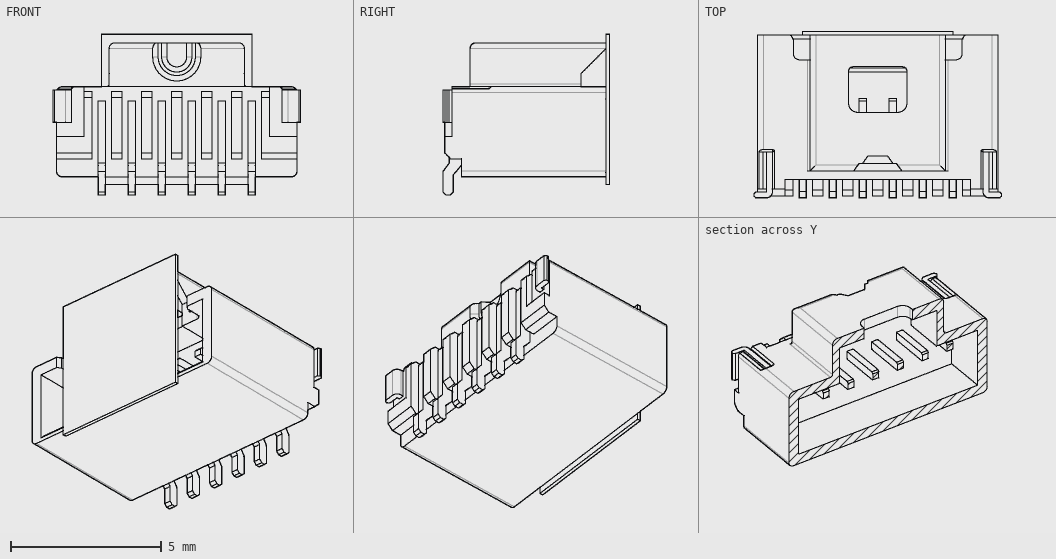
import cadquery as cq
import math


pitch = 1.0
contact_count = 6
wall = 0.4
edge_round = 0.2

block_width = 8.0
block_height = 3.0
panel_depth = 4.8
rib_depth = 5.36
shoulder_depth = 5.12
shoulder_bottom = 1.34
corner_inner_x = 3.08
rib_bottom = 0.6
rib_top = 2.84
rib_width = 0.355
rib_chamfer = 0.2
end_rib_inner_x = contact_count / 2 * pitch - rib_width / 2

tower_width = 4.5
tower_top = 4.46
tower_depth = 4.515
tower_wall = 0.3
tower_roof = 0.44
foot_round = 0.08

cavity_depth = 3.67
mouth_chamfer = 0.14
floor_step = 0.13
floor_step_depth = 1.1

notch_width = 5.6
notch_depth = 0.82
notch_round = 0.2
notch_flare = 0.1
window_width = 1.94
window_rear = 1.055
window_front = 2.57
window_front_round = 0.305
window_rear_round = 0.15
scoop_center_z = 3.99
scoop_step_depth = 0.25
scoop_outer_radii = (0.8, 0.62)
scoop_inner_radii = (0.5, 0.33)

contact_width = 0.25
contact_top = 2.53
contact_beam = 0.305
contact_tip_depth = 2.11
contact_tip_chamfer = 0.09
leg_depth = 5.21
foot_front = 5.41
foot_back = 5.07
foot_bottom = -0.6
foot_chamfer = 0.1
bend_front_top = 0.46
bend_front_bottom = 0.18
bend_back_top = 0.38
bend_back_bottom = 0.07

tab_end_x = 4.12
tab_inner_x = 3.5
tab_thickness = 0.2
tab_top = 2.89
tab_bottom = 1.81
tab_rear = 3.92
tab_end_chamfer = 0.07
recess_drop = 0.075
recess_outer_x = 3.95
groove_outer_x = 3.81
recess_rear = 3.88

film_side = 5.0
film_thickness = 0.12
film_bottom = -0.255


def across(points, x_from, x_to):
    """Prism along X from an outline of (depth, height) points; depth runs toward -Y."""
    outline = [(-depth, height) for depth, height in points]
    return cq.Workplane("YZ", origin=(x_from, 0, 0)).polyline(outline).close().extrude(x_to - x_from)


def block(x_from, x_to, depth_from, depth_to, z_from, z_to):
    """Box between two X values, two depths and two heights."""
    size = (x_to - x_from, depth_to - depth_from, z_to - z_from)
    return cq.Workplane("XY").box(*size, centered=False).translate((x_from, -depth_to, z_from))


def both_sides(shape):
    """The shape together with its mirror image in the plane X = 0."""
    return shape.union(shape.mirror("YZ"))


def make_main_block():
    half = block_width / 2
    body = block(-half, half, 0, rib_depth, 0, block_height).edges("|Y").fillet(edge_round)
    body = body.cut(block(-corner_inner_x, corner_inner_x, panel_depth, rib_depth, 0, block_height))
    body = body.cut(block(-half, half, shoulder_depth, rib_depth, shoulder_bottom, block_height))
    underside = [
        (panel_depth, 0),
        (panel_depth, rib_bottom),
        (rib_depth - rib_chamfer, rib_bottom),
        (rib_depth, rib_bottom + rib_chamfer),
        (rib_depth, 0),
    ]
    return body.cut(across(underside, -half, half))


def make_rib(x_from, x_to):
    profile = [
        (panel_depth, rib_bottom),
        (rib_depth - rib_chamfer, rib_bottom),
        (rib_depth, rib_bottom + rib_chamfer),
        (rib_depth, rib_top - rib_chamfer),
        (rib_depth - rib_chamfer, rib_top),
        (panel_depth, rib_top),
    ]
    return across(profile, x_from, x_to)


def make_ribs():
    ribs = both_sides(make_rib(end_rib_inner_x, corner_inner_x))
    for index in range(contact_count - 1):
        center = (index - (contact_count - 2) / 2) * pitch
        ribs = ribs.union(make_rib(center - rib_width / 2, center + rib_width / 2))
    return ribs


def make_tower():
    half = tower_width / 2
    base = block_height - wall
    tower = block(-half, half, 0, tower_depth, base, tower_top)
    tower = tower.faces(">Z").edges("|Y or <Y").fillet(edge_round)
    foot = (
        cq.Workplane("XZ")
        .moveTo(half, block_height)
        .lineTo(half + foot_round, block_height)
        .radiusArc((half, block_height + foot_round), foot_round)
        .close()
        .extrude(tower_depth)
    )
    return tower.union(both_sides(foot))


def make_cavity():
    half = block_width / 2 - wall
    step_end = floor_step_depth + floor_step
    low_floor = wall - floor_step
    ceiling = block_height - wall
    profile = [
        (0, low_floor - mouth_chamfer),
        (mouth_chamfer, low_floor),
        (floor_step_depth, low_floor),
        (step_end, wall),
        (cavity_depth, wall),
        (cavity_depth, ceiling),
        (0, ceiling),
    ]
    cavity = across(profile, -half, half)
    tower_half = tower_width / 2 - tower_wall
    return cavity.union(block(-tower_half, tower_half, 0, cavity_depth, wall, tower_top - tower_roof))


def make_rear_notch():
    """Opening at the mouth through the block top and both tower sides, sloping up to the roof."""
    half = notch_width / 2
    bottom = block_height - wall
    roof_edge = tower_top - edge_round
    profile = [
        (0, bottom),
        (notch_depth, bottom),
        (notch_depth, roof_edge - notch_depth),
        (0, roof_edge),
    ]
    notch = across(profile, -half, half).edges("|Z and <Y").fillet(notch_round)
    flare = (
        cq.Workplane("XY", origin=(0, 0, bottom))
        .polyline([
            (-half - notch_flare, 0),
            (half + notch_flare, 0),
            (half, -mouth_chamfer),
            (-half, -mouth_chamfer),
        ])
        .close()
        .extrude(wall)
    )
    return notch.union(flare)


def make_window():
    half = window_width / 2
    window = block(-half, half, window_rear, window_front, block_height, tower_top)
    window = window.edges("|Z and <Y").fillet(window_front_round)
    return window.edges("|Z and >Y").fillet(window_rear_round)


def make_scoop_step(radii, depth):
    """U-shaped cut into the tower front that narrows from radii[0] to radii[1]."""
    start, end = radii
    rise = tower_top - scoop_center_z + start
    taper = math.degrees(math.atan((start - end) / scoop_step_depth))
    plane = cq.Plane(origin=(0, -depth, scoop_center_z), xDir=(-1, 0, 0), normal=(0, 1, 0))
    return (
        cq.Workplane(plane)
        .moveTo(-start, rise)
        .lineTo(-start, 0)
        .threePointArc((0, -start), (start, 0))
        .lineTo(start, rise)
        .close()
        .extrude(scoop_step_depth, taper=taper)
    )


def make_scoop():
    outer = make_scoop_step(scoop_outer_radii, tower_depth)
    return outer.union(make_scoop_step(scoop_inner_radii, tower_depth - scoop_step_depth))


def make_tab_recess():
    """Shallow recess around one solder tab, with a sloped groove along the tab's outer face."""
    recess_floor = block_height - recess_drop
    plate_outer_x = tab_inner_x + tab_thickness
    recess = (
        cq.Workplane("XY", origin=(0, 0, recess_floor))
        .polyline([
            (tab_inner_x, -recess_rear),
            (recess_outer_x, -recess_rear),
            (recess_outer_x, -rib_depth),
            (tab_inner_x, -rib_depth),
        ])
        .close()
        .extrude(recess_drop, taper=-45)
    )
    groove = (
        cq.Workplane("XZ", origin=(0, -recess_rear, 0))
        .polyline([
            (plate_outer_x, recess_floor),
            (groove_outer_x, recess_floor),
            (plate_outer_x, recess_floor - (groove_outer_x - plate_outer_x)),
        ])
        .close()
        .extrude(rib_depth - recess_rear)
    )
    clearance = block(tab_inner_x, plate_outer_x, recess_rear, rib_depth, tab_top, block_height)
    return recess.union(groove).union(clearance)


def make_tab():
    """L-shaped solder tab: a plate set into the block, bent outward at the front."""
    bend_radius = tab_thickness
    plate_outer_x = tab_inner_x + tab_thickness
    flange_back = foot_front - tab_thickness
    return (
        cq.Workplane("XY", origin=(0, 0, tab_bottom))
        .moveTo(tab_inner_x, -tab_rear)
        .lineTo(plate_outer_x, -tab_rear)
        .lineTo(plate_outer_x, -flange_back)
        .lineTo(tab_end_x - tab_end_chamfer, -flange_back)
        .lineTo(tab_end_x, -flange_back - tab_end_chamfer)
        .lineTo(tab_end_x, -foot_front + tab_end_chamfer)
        .lineTo(tab_end_x - tab_end_chamfer, -foot_front)
        .lineTo(tab_inner_x + bend_radius, -foot_front)
        .radiusArc((tab_inner_x, -foot_front + bend_radius), bend_radius)
        .close()
        .extrude(tab_top - tab_bottom)
    )


def make_contact(center_x):
    """Bent contact: beam into the cavity, leg down the panel and foot stepped forward."""
    beam_bottom = contact_top - contact_beam
    profile = [
        (contact_tip_depth, beam_bottom),
        (contact_tip_depth, contact_top - contact_tip_chamfer),
        (contact_tip_depth + contact_tip_chamfer, contact_top),
        (leg_depth, contact_top),
        (leg_depth, bend_front_top),
        (foot_front, bend_front_bottom),
        (foot_front, foot_bottom + foot_chamfer),
        (foot_front - foot_chamfer, foot_bottom),
        (foot_back + foot_chamfer, foot_bottom),
        (foot_back, foot_bottom + foot_chamfer),
        (foot_back, bend_back_bottom),
        (panel_depth, bend_back_top),
        (panel_depth, beam_bottom),
    ]
    return across(profile, center_x - contact_width / 2, center_x + contact_width / 2)


def make_connector():
    body = make_main_block().union(make_ribs()).union(make_tower())
    body = body.cut(make_cavity()).cut(make_rear_notch()).cut(make_window()).cut(make_scoop())
    body = body.cut(both_sides(make_tab_recess())).union(both_sides(make_tab()))
    for index in range(contact_count):
        body = body.union(make_contact((index - (contact_count - 1) / 2) * pitch))
    return body


def make_film():
    half = film_side / 2
    return block(-half, half, -film_thickness, 0, film_bottom, film_bottom + film_side)


connector = make_connector()
film = make_film()

result = cq.Compound.makeCompound([connector.val(), film.val()])